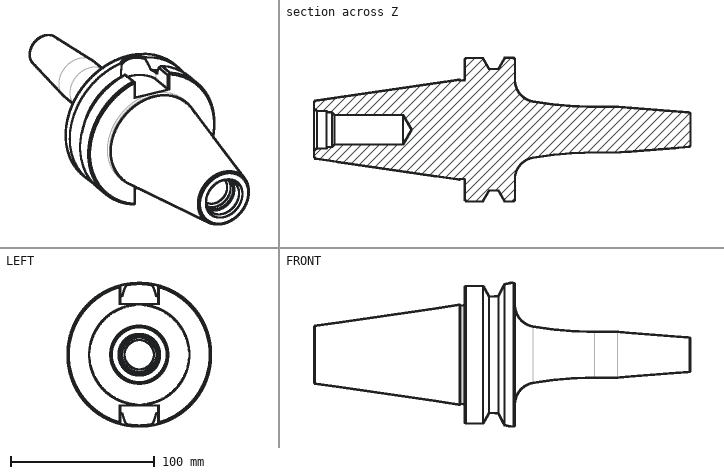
import cadquery as cq
import math


GAUGE_RADIUS = 69.85 / 2
TAPER_LENGTH = 101.8
TAPER_SLOPE = 7 / 48
SHANK_CHAMFER = 1.0
TAPER_SMALL_RADIUS = GAUGE_RADIUS - TAPER_LENGTH * TAPER_SLOPE

RELIEF_RADIUS = 34.3
RELIEF_FILLET = 1.0
TAPER_END_X = -0.6

FLANGE_RADIUS = 50.0
FLANGE_BACK_X = 3.0
FLANGE_FRONT_X = 38.0
FLANGE_BACK_CHAMFER = 1.0
FLANGE_FRONT_CHAMFER = 1.0
GROOVE_RADIUS = 42.5
GROOVE_FLOOR_BACK_X = 20.0
GROOVE_FLOOR_WIDTH = 6.4
GROOVE_FLANK_ANGLE = 30.0
GROOVE_FLOOR_FRONT_X = GROOVE_FLOOR_BACK_X + GROOVE_FLOOR_WIDTH
GROOVE_FLANK_LENGTH = (FLANGE_RADIUS - GROOVE_RADIUS) * math.tan(math.radians(GROOVE_FLANK_ANGLE))

SLOT_WIDTH = 25.7
SLOT_FLOOR_HEIGHT = 35.4
SLOT_END_X = 34.0
SLOT_MOUTH_CHAMFER = 1.0
SLOT_EDGE_CHAMFER = 2.0
SLOT_END_CHAMFER = 1.0

NOSE_END_X = 160.0
NOSE_END_RADIUS = 12.0
NOSE_CHAMFER = 1.0
NOSE_CONE_ANGLE = 4.5
NECK_RADIUS = 16.0
NECK_CYLINDER_X = 93.0
NECK_ARC_RADIUS = 250.0
BLEND_RADIUS = 15.0

BORE_MOUTH_RADIUS = 14.5
BORE_MOUTH_ANGLE = 35.0
PILOT_RADIUS = 13.0
PILOT_DEPTH = 9.0
LEAD_IN_RADIUS = 12.0
LEAD_IN_DEPTH = 12.5
THREAD_HOLE_RADIUS = 10.2
THREAD_HOLE_DEPTH = 62.0
DRILL_HALF_ANGLE = 60.0


def polar(center, radius, angle):
    """Point at an angle (radians) on a circle."""
    return (center[0] + radius * math.cos(angle), center[1] + radius * math.sin(angle))


def revolve_about_axis(profile):
    return profile.close().revolve(360, (0, 0, 0), (1, 0, 0))


def holder_body():
    neck_center = (NECK_CYLINDER_X, NECK_RADIUS + NECK_ARC_RADIUS)
    blend_center_x = FLANGE_FRONT_X + BLEND_RADIUS
    tilt = math.asin((NECK_CYLINDER_X - blend_center_x) / (NECK_ARC_RADIUS - BLEND_RADIUS))
    joint_angle = -math.pi / 2 - tilt
    joint = polar(neck_center, NECK_ARC_RADIUS, joint_angle)
    neck_middle = polar(neck_center, NECK_ARC_RADIUS, -math.pi / 2 - tilt / 2)
    blend_center = polar(neck_center, NECK_ARC_RADIUS - BLEND_RADIUS, joint_angle)
    blend_middle = polar(blend_center, BLEND_RADIUS, (joint_angle - math.pi) / 2)
    blend_start = (FLANGE_FRONT_X, blend_center[1])

    relief_fillet_center = (FLANGE_BACK_X - RELIEF_FILLET, RELIEF_RADIUS + RELIEF_FILLET)
    relief_fillet_middle = polar(relief_fillet_center, RELIEF_FILLET, -math.pi / 4)

    cone_slope = math.tan(math.radians(NOSE_CONE_ANGLE))
    cone_start_x = NOSE_END_X - (NECK_RADIUS - NOSE_END_RADIUS) / cone_slope

    profile = (
        cq.Workplane("XY")
        .moveTo(-TAPER_LENGTH, 0)
        .lineTo(-TAPER_LENGTH, TAPER_SMALL_RADIUS - SHANK_CHAMFER)
        .lineTo(-TAPER_LENGTH + SHANK_CHAMFER, TAPER_SMALL_RADIUS + SHANK_CHAMFER * TAPER_SLOPE)
        .lineTo(TAPER_END_X, GAUGE_RADIUS + TAPER_END_X * TAPER_SLOPE)
        .lineTo(0, RELIEF_RADIUS)
        .lineTo(FLANGE_BACK_X - RELIEF_FILLET, RELIEF_RADIUS)
        .threePointArc(relief_fillet_middle, (FLANGE_BACK_X, RELIEF_RADIUS + RELIEF_FILLET))
        .lineTo(FLANGE_BACK_X, FLANGE_RADIUS - FLANGE_BACK_CHAMFER)
        .lineTo(FLANGE_BACK_X + FLANGE_BACK_CHAMFER, FLANGE_RADIUS)
        .lineTo(GROOVE_FLOOR_BACK_X - GROOVE_FLANK_LENGTH, FLANGE_RADIUS)
        .lineTo(GROOVE_FLOOR_BACK_X, GROOVE_RADIUS)
        .lineTo(GROOVE_FLOOR_FRONT_X, GROOVE_RADIUS)
        .lineTo(GROOVE_FLOOR_FRONT_X + GROOVE_FLANK_LENGTH, FLANGE_RADIUS)
        .lineTo(FLANGE_FRONT_X - FLANGE_FRONT_CHAMFER, FLANGE_RADIUS)
        .lineTo(FLANGE_FRONT_X, FLANGE_RADIUS - FLANGE_FRONT_CHAMFER)
        .lineTo(*blend_start)
        .threePointArc(blend_middle, joint)
        .threePointArc(neck_middle, (NECK_CYLINDER_X, NECK_RADIUS))
        .lineTo(cone_start_x, NECK_RADIUS)
        .lineTo(NOSE_END_X - NOSE_CHAMFER, NOSE_END_RADIUS + NOSE_CHAMFER * cone_slope)
        .lineTo(NOSE_END_X, NOSE_END_RADIUS - NOSE_CHAMFER)
        .lineTo(NOSE_END_X, 0)
    )
    return revolve_about_axis(profile)


def pull_stud_bore():
    mouth_depth = (BORE_MOUTH_RADIUS - PILOT_RADIUS) / math.tan(math.radians(BORE_MOUTH_ANGLE))
    lead_in_bevel = LEAD_IN_RADIUS - THREAD_HOLE_RADIUS
    tip_length = THREAD_HOLE_RADIUS / math.tan(math.radians(DRILL_HALF_ANGLE))
    back = -TAPER_LENGTH
    profile = (
        cq.Workplane("XY")
        .moveTo(back, 0)
        .lineTo(back, BORE_MOUTH_RADIUS)
        .lineTo(back + mouth_depth, PILOT_RADIUS)
        .lineTo(back + PILOT_DEPTH, PILOT_RADIUS)
        .lineTo(back + PILOT_DEPTH, LEAD_IN_RADIUS)
        .lineTo(back + LEAD_IN_DEPTH, LEAD_IN_RADIUS)
        .lineTo(back + LEAD_IN_DEPTH + lead_in_bevel, THREAD_HOLE_RADIUS)
        .lineTo(back + THREAD_HOLE_DEPTH, THREAD_HOLE_RADIUS)
        .lineTo(back + THREAD_HOLE_DEPTH + tip_length, 0)
    )
    return revolve_about_axis(profile)


def drive_slot():
    """Cutter for the slot on the +Z side: round-ended pocket with chamfered outer edges."""
    half_width = SLOT_WIDTH / 2
    mouth_half_width = half_width + SLOT_MOUTH_CHAMFER
    height = FLANGE_RADIUS - SLOT_FLOOR_HEIGHT
    arc_center_x = SLOT_END_X - half_width
    pocket = (
        cq.Workplane("XY", origin=(0, 0, SLOT_FLOOR_HEIGHT))
        .moveTo(FLANGE_BACK_X, -mouth_half_width)
        .lineTo(FLANGE_BACK_X + SLOT_MOUTH_CHAMFER, -half_width)
        .lineTo(arc_center_x, -half_width)
        .threePointArc((SLOT_END_X, 0), (arc_center_x, half_width))
        .lineTo(FLANGE_BACK_X + SLOT_MOUTH_CHAMFER, half_width)
        .lineTo(FLANGE_BACK_X, mouth_half_width)
        .close()
        .extrude(height)
    )

    bevel_bottom = math.sqrt(FLANGE_RADIUS**2 - half_width**2) - SLOT_EDGE_CHAMFER
    bevel_rise = FLANGE_RADIUS - bevel_bottom
    bevel = (
        cq.Workplane("YZ")
        .moveTo(-half_width, bevel_bottom)
        .lineTo(half_width, bevel_bottom)
        .lineTo(half_width + bevel_rise, FLANGE_RADIUS)
        .lineTo(-half_width - bevel_rise, FLANGE_RADIUS)
        .close()
        .extrude(GROOVE_FLOOR_BACK_X)
    )
    return pocket.union(bevel)


def chamfer_slot_ends(body):
    """Break the curved edges where the slots' round ends cut the front rim."""
    half_width = SLOT_WIDTH / 2
    front_rim_x = GROOVE_FLOOR_FRONT_X + GROOVE_FLANK_LENGTH
    for side in (1, -1):
        rim_region = cq.selectors.BoxSelector(
            (front_rim_x - SLOT_END_CHAMFER, -half_width, side * GROOVE_RADIUS),
            (FLANGE_FRONT_X - FLANGE_FRONT_CHAMFER, half_width, side * (FLANGE_RADIUS + SLOT_END_CHAMFER)),
        )
        body = body.edges(rim_region).chamfer(SLOT_END_CHAMFER)
    return body


slot = drive_slot()
opposite_slot = slot.rotate((0, 0, 0), (1, 0, 0), 180)
body = holder_body().cut(slot).cut(opposite_slot)
result = chamfer_slot_ends(body).cut(pull_stud_bore())